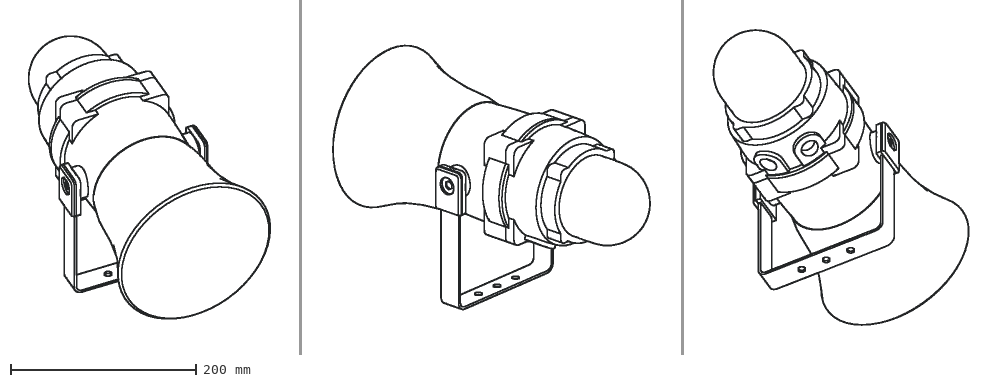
import cadquery as cq
import math


dome_radius = 46.0
collar_start = 75.0
collar_radius = 53.0
collar_half_side = 43.0
collar_corner_radius = 6.0

barrel_start = 95.0
joint_x = 142.2
barrel_end = 237.0
barrel_end_radius = 61.0
barrel_mid_radius = 63.2
barrel_middle = (barrel_start + barrel_end) / 2

flange_start = 138.0
flange_end = 166.0
flange_radius = 68.5
square_start = 130.0
square_end = 173.3
square_half_side = 57.5
square_corner_radius = 7.5
half_envelope_radius = square_half_side * math.sqrt(2)

eyelet_x = 121.5
eyelet_angle = 22.5
eyelet_radius = 17.0
eyelet_hole_radius = 9.5
eyelet_top_radius = 67.0
eyelet_root_radius = 55.0

horn_end = 365.5
horn_neck_radius = 61.8
horn_neck_mid = (248.5, 64.7)
horn_shoulder = (261.0, 66.0)
horn_waist = (306.0, 71.3)
horn_flare = (340.0, 80.8)
mouth_radius = 90.5
mouth_chamfer = 3.0

pivot_x = 206.2
bracket_half_width = 76.5
bracket_thickness = 3.0
bracket_bend_radius = 10.0
strap_width = 25.5
strap_top = strap_width / 2
bracket_bottom = -145.0
base_hole_diameter = 8.0
base_hole_spacing = 30.0
base_hole_count = 3

boss_radius = 17.5
block_inner_y = 71.0
cover_outer_y = 80.8
cover_width = 36.5
cover_top = cover_width / 2
cover_bottom = -30.0
cover_corner_radius = 6.0
cover_chamfer = 2.2
recess_diameter = 19.5
recess_depth = 2.5
hex_across_corners = 10.0


def x_cylinder(start, end, radius):
    """Cylinder along the main axis."""
    return cq.Workplane("YZ", origin=(start, 0, 0)).circle(radius).extrude(end - start)


def x_square(start, end, half_side, corner_radius):
    """Square bar along the main axis with rounded corners."""
    side = 2 * half_side
    bar = cq.Workplane("YZ", origin=(start, 0, 0)).rect(side, side).extrude(end - start)
    return bar.edges("|X").fillet(corner_radius)


def revolve_about_x(profile):
    """Full turn of a closed XY profile about the main axis."""
    return profile.revolve(360, (0, 0, 0), (1, 0, 0))


def make_dome():
    arc_mid = dome_radius * (1 - math.cos(math.pi / 4)), dome_radius * math.sin(math.pi / 4)
    profile = (
        cq.Workplane("XY")
        .moveTo(0, 0)
        .threePointArc(arc_mid, (dome_radius, dome_radius))
        .lineTo(collar_start, dome_radius)
        .lineTo(collar_start, 0)
        .close()
    )
    return revolve_about_x(profile)


def make_collar():
    ring = x_cylinder(collar_start, barrel_start, collar_radius)
    corners = x_square(collar_start, barrel_start, collar_half_side, collar_corner_radius)
    return ring.union(corners)


def make_housing_shell():
    """Both halves of the housing in one piece: barrel, flange and corner blocks."""
    profile = (
        cq.Workplane("XY")
        .moveTo(barrel_start, 0)
        .lineTo(barrel_start, barrel_end_radius)
        .threePointArc((barrel_middle, barrel_mid_radius), (barrel_end, barrel_end_radius))
        .lineTo(barrel_end, 0)
        .close()
    )
    flange = x_cylinder(flange_start, flange_end, flange_radius)
    corners = x_square(square_start, square_end, square_half_side, square_corner_radius)
    return revolve_about_x(profile).union(flange).union(corners)


def radial_plane(angle, radius):
    """Plane facing away from the main axis, turned by angle from straight down."""
    outward = (0, math.sin(math.radians(angle)), -math.cos(math.radians(angle)))
    origin = (eyelet_x, radius * outward[1], radius * outward[2])
    return cq.Plane(origin=origin, xDir=(1, 0, 0), normal=outward)


def make_eyelet(angle):
    """Round-ended tongue running back into the flange, with a curved outer face."""
    plane = radial_plane(angle, eyelet_root_radius)
    height = flange_radius - eyelet_root_radius
    length = flange_start - eyelet_x
    round_end = cq.Workplane(plane).circle(eyelet_radius).extrude(height)
    tongue = (
        cq.Workplane(plane)
        .center(length / 2, 0)
        .rect(length, 2 * eyelet_radius)
        .extrude(height)
    )
    outer_limit = x_cylinder(barrel_start, flange_start, eyelet_top_radius)
    return round_end.union(tongue).intersect(outer_limit)


def make_eyelet_hole(angle):
    plane = radial_plane(angle, eyelet_root_radius)
    return cq.Workplane(plane).circle(eyelet_hole_radius).extrude(flange_radius - eyelet_root_radius)


def make_front_housing():
    front_half = x_cylinder(barrel_start, joint_x, half_envelope_radius)
    housing = make_housing_shell().intersect(front_half)
    for angle in (-eyelet_angle, eyelet_angle):
        housing = housing.union(make_eyelet(angle)).cut(make_eyelet_hole(angle))
    return housing


def make_mount_plate(side, inner_y, outer_y):
    """Plate across the pivot with rounded upper corners; side is -1 or 1 along Y."""
    plate = (
        cq.Workplane("XY")
        .box(cover_width, outer_y - inner_y, cover_top - cover_bottom)
        .translate((pivot_x, side * (inner_y + outer_y) / 2, (cover_top + cover_bottom) / 2))
    )
    return plate.edges("|Y and >Z").fillet(cover_corner_radius)


def make_rear_housing(bracket):
    rear_half = x_cylinder(joint_x, barrel_end, half_envelope_radius)
    housing = make_housing_shell().intersect(rear_half)
    boss = (
        cq.Workplane("XZ", origin=(pivot_x, block_inner_y, 0))
        .circle(boss_radius)
        .extrude(2 * block_inner_y)
    )
    housing = housing.union(boss)
    for side in (-1, 1):
        housing = housing.union(make_mount_plate(side, block_inner_y, bracket_half_width))
    return housing.cut(bracket)


def make_horn():
    mouth_x = horn_end - mouth_chamfer
    profile = (
        cq.Workplane("XY")
        .moveTo(barrel_end, 0)
        .lineTo(barrel_end, horn_neck_radius)
        .threePointArc(horn_neck_mid, horn_shoulder)
        .spline([horn_waist, horn_flare, (mouth_x, mouth_radius)], includeCurrent=True)
        .lineTo(horn_end, mouth_radius - mouth_chamfer)
        .lineTo(horn_end, 0)
        .close()
    )
    return revolve_about_x(profile)


def u_solid(half_width, bottom, bend_radius):
    """Upright block with its two lower edges along X rounded."""
    height = strap_top - bottom
    block = (
        cq.Workplane("XY")
        .box(strap_width, 2 * half_width, height)
        .translate((pivot_x, 0, bottom + height / 2))
    )
    return block.edges("|X and <Z").fillet(bend_radius)


def make_bracket():
    outside = u_solid(bracket_half_width, bracket_bottom, bracket_bend_radius)
    inside = u_solid(
        bracket_half_width - bracket_thickness,
        bracket_bottom + bracket_thickness,
        bracket_bend_radius - bracket_thickness,
    )
    base_holes = (
        cq.Workplane("XY", origin=(pivot_x, 0, bracket_bottom))
        .rarray(3.5, base_hole_spacing, 1, base_hole_count)
        .circle(base_hole_diameter / 2)
        .extrude(bracket_thickness)
    )
    return outside.cut(inside).cut(base_holes)


def make_cover(side):
    """Cover plate with a chamfered outer rim and a recessed hexagon hole."""
    outer_face = ">Y" if side > 0 else "<Y"
    plate = make_mount_plate(side, bracket_half_width, cover_outer_y)
    plate = plate.faces(outer_face).edges("not <Z").chamfer(cover_chamfer)
    thickness = cover_outer_y - bracket_half_width
    outer_plane = cq.Plane(
        origin=(pivot_x, side * cover_outer_y, 0), xDir=(0, 0, 1), normal=(0, side, 0)
    )
    recess = cq.Workplane(outer_plane).circle(recess_diameter / 2).extrude(-recess_depth)
    hex_hole = cq.Workplane(outer_plane).polygon(6, hex_across_corners).extrude(-thickness)
    return plate.cut(recess).cut(hex_hole)


dome = make_dome()
collar = make_collar()
front_housing = make_front_housing()
bracket = make_bracket()
rear_housing = make_rear_housing(bracket)
horn = make_horn()
covers = [make_cover(side) for side in (-1, 1)]

result = cq.Compound.makeCompound(
    [
        dome.val(),
        collar.val(),
        front_housing.val(),
        rear_housing.val(),
        horn.val(),
        bracket.val(),
        *[cover.val() for cover in covers],
    ]
)